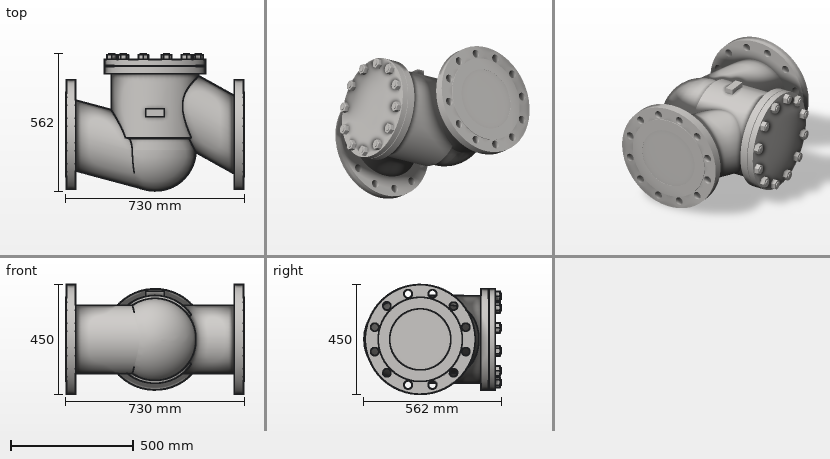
import cadquery as cq
import math


length = 730.0
flange_diameter = 450.0
flange_thickness = 38.0
raised_face_diameter = 344.5
raised_face_height = 3.0
face_recess_diameter = 250.5
face_recess_depth = 1.0
hole_count = 12
hole_circle_radius = 193.0
hole_diameter = 33.0

pipe_diameter = 279.5
inlet_angle = 15.0
outlet_angle = 29.0
inlet_axis_drop = 4.0

body_radius = 179.5
dome_radius = 168.0
dome_center_y = -63.0
shoulder_y = -12.5
shoulder_height = 5.0

bonnet_radius = 207.0
body_flange_y = 248.0
body_flange_thickness = 31.5
gasket_radius = 168.0
gasket_thickness = 2.0
cover_thickness = 25.5

stud_count = 12
stud_circle_radius = 182.5
stud_diameter = 24.0
stud_projection = 4.0
nut_corner_diameter = 43.0
nut_chamfer_width = 3.0
nut_chamfer_height = 1.5
nut_height = 20.0

pad_length = 77.5
pad_width = 33.0
pad_center_y = 89.0
pad_top_z = 198.0

half_length = length / 2
flange_back_x = half_length - raised_face_height - flange_thickness
body_flange_top_y = body_flange_y + body_flange_thickness
cover_y = body_flange_top_y + gasket_thickness
cover_top_y = cover_y + cover_thickness


def ring(feature, count, axis):
    """Copies of a feature turned about an axis through the origin at an even pitch."""
    copies = cq.Workplane("XY")
    for i in range(count):
        copies = copies.add(feature.rotate((0, 0, 0), axis, i * 360 / count))
    return copies.combine()


def pipe_flange(side):
    """Drilled flange with a raised, shallowly recessed face; side is -1 for the inlet and +1 for the outlet."""
    plane = cq.Plane(origin=(side * flange_back_x, 0, 0), xDir=(0, 1, 0), normal=(side, 0, 0))
    flange = cq.Workplane(plane).circle(flange_diameter / 2).extrude(flange_thickness)
    raised_face = (
        cq.Workplane(plane)
        .circle(raised_face_diameter / 2)
        .extrude(flange_thickness + raised_face_height)
    )
    recess = (
        cq.Workplane(plane)
        .workplane(offset=flange_thickness + raised_face_height - face_recess_depth)
        .circle(face_recess_diameter / 2)
        .extrude(face_recess_depth)
    )
    half_pitch = math.pi / hole_count
    hole = (
        cq.Workplane(plane)
        .center(hole_circle_radius * math.cos(half_pitch), hole_circle_radius * math.sin(half_pitch))
        .circle(hole_diameter / 2)
        .extrude(flange_thickness)
    )
    return flange.cut(ring(hole, hole_count, (1, 0, 0))).union(raised_face).cut(recess)


def slanted_pipe(side, angle, start_y):
    """Solid pipe from a flange back to the body axis, tilted so that it falls towards +X."""
    slope = math.radians(angle)
    direction = (-side * math.cos(slope), side * math.sin(slope), 0)
    plane = cq.Plane(origin=(side * flange_back_x, start_y, 0), xDir=(0, 0, 1), normal=direction)
    overrun = pipe_diameter / 2 * math.tan(slope)
    pipe = (
        cq.Workplane(plane)
        .workplane(offset=-overrun)
        .circle(pipe_diameter / 2)
        .extrude(flange_back_x / math.cos(slope) + overrun)
    )
    between_flanges = cq.Workplane("XY").box(2 * flange_back_x, length, length)
    return pipe.intersect(between_flanges)


def body():
    """Domed barrel with its top flange, gasket and cover, revolved about Y."""
    dome_bottom_y = dome_center_y - dome_radius
    diagonal = dome_radius * math.sqrt(0.5)
    return (
        cq.Workplane("XY")
        .moveTo(0, dome_bottom_y)
        .threePointArc((diagonal, dome_center_y - diagonal), (dome_radius, dome_center_y))
        .lineTo(dome_radius, shoulder_y - shoulder_height)
        .lineTo(body_radius, shoulder_y)
        .lineTo(body_radius, body_flange_y)
        .lineTo(bonnet_radius, body_flange_y)
        .lineTo(bonnet_radius, body_flange_top_y)
        .lineTo(gasket_radius, body_flange_top_y)
        .lineTo(gasket_radius, cover_y)
        .lineTo(bonnet_radius, cover_y)
        .lineTo(bonnet_radius, cover_top_y)
        .lineTo(0, cover_top_y)
        .close()
        .revolve(360, (0, 0, 0), (0, 1, 0))
    )


def nut_and_stud():
    """Hexagon nut with chamfered top corners and the stud end standing out of it."""
    half_pitch = math.pi / stud_count
    center = (
        stud_circle_radius * math.cos(half_pitch),
        cover_top_y,
        stud_circle_radius * math.sin(half_pitch),
    )
    plane = cq.Plane(origin=center, xDir=(1, 0, 0), normal=(0, 1, 0))
    corner_cutter = (
        cq.Workplane(plane)
        .circle(nut_corner_diameter / 2)
        .extrude(nut_height)
        .faces(">Y")
        .chamfer(nut_chamfer_height, nut_chamfer_width)
    )
    nut = cq.Workplane(plane).polygon(6, nut_corner_diameter).extrude(nut_height)
    stud = cq.Workplane(plane).circle(stud_diameter / 2).extrude(nut_height + stud_projection)
    return nut.intersect(corner_cutter).union(stud)


def name_plate_pad():
    """Rectangular pad rising from the body towards +Z."""
    return (
        cq.Workplane("XY")
        .center(0, pad_center_y)
        .rect(pad_length, pad_width)
        .extrude(pad_top_z)
    )


result = (
    body()
    .union(slanted_pipe(-1, inlet_angle, -inlet_axis_drop))
    .union(slanted_pipe(1, outlet_angle, 0))
    .union(pipe_flange(-1))
    .union(pipe_flange(1))
    .union(ring(nut_and_stud(), stud_count, (0, 1, 0)))
    .union(name_plate_pad())
)